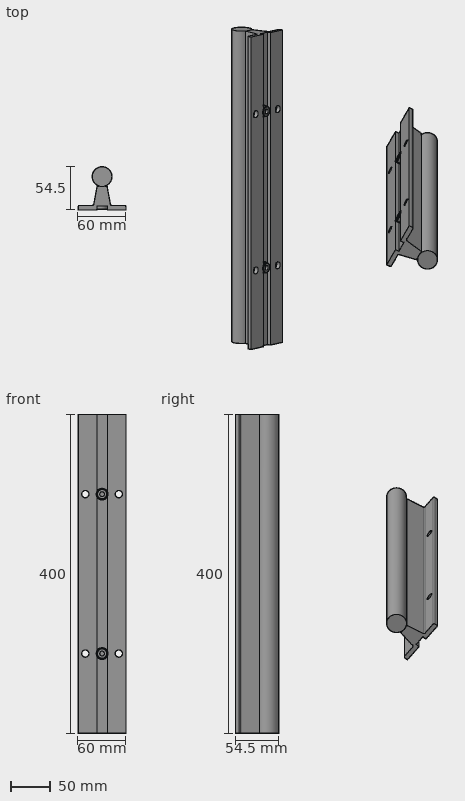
import cadquery as cq
import math

LENGTH = 400.0
SCREW_HEIGHTS = (LENGTH / 4, 3 * LENGTH / 4)

SHAFT_RADIUS = 25.0 / 2
SHAFT_CENTRE_Y = 42.0

BASE_WIDTH = 60.0
BASE_THICKNESS = 6.0
STEM_TOP_Y = 30.0
STEM_TOP_HALF_WIDTH = 6.5
STEM_FOOT_HALF_WIDTH = 11.0
STEM_FOOT_FILLET = 1.5
BASE_CORNER_FILLET = 2.0
SLOT_WIDTH = 13.0
SLOT_DEPTH = 5.0
MOUNTING_HOLE_DIAMETER = 9.0
MOUNTING_HOLE_SPACING = 42.0

HEAD_DIAMETER = 13.0
HEAD_HEIGHT = 8.0
HEAD_FACE_Y = 0.5
HEAD_CHAMFER = 1.0
HEAD_SEAT_Y = HEAD_FACE_Y + HEAD_HEIGHT
COUNTERBORE_DIAMETER = 15.0
SOCKET_DIAMETER = 6.0
SOCKET_DEPTH = HEAD_HEIGHT / 2


def y_cylinder(x, z, diameter, y_start, y_end):
    """Cylinder along +Y from y_start to y_end."""
    return cq.Workplane(
        cq.Solid.makeCylinder(diameter / 2, y_end - y_start, cq.Vector(x, y_start, z), cq.Vector(0, 1, 0))
    )


def make_shaft():
    return cq.Workplane("XY").center(0, SHAFT_CENTRE_Y).circle(SHAFT_RADIUS).extrude(LENGTH)


def make_support():
    groove_half_width = math.sqrt(SHAFT_RADIUS**2 - (SHAFT_CENTRE_Y - STEM_TOP_Y) ** 2)
    groove_bottom_y = SHAFT_CENTRE_Y - SHAFT_RADIUS
    base_half = BASE_WIDTH / 2
    slot_half = SLOT_WIDTH / 2
    support = (
        cq.Workplane("XY")
        .moveTo(-base_half, 0)
        .lineTo(-slot_half, 0)
        .lineTo(-slot_half, SLOT_DEPTH)
        .lineTo(slot_half, SLOT_DEPTH)
        .lineTo(slot_half, 0)
        .lineTo(base_half, 0)
        .lineTo(base_half, BASE_THICKNESS)
        .lineTo(STEM_FOOT_HALF_WIDTH, BASE_THICKNESS)
        .lineTo(STEM_TOP_HALF_WIDTH, STEM_TOP_Y)
        .lineTo(groove_half_width, STEM_TOP_Y)
        .threePointArc((0, groove_bottom_y), (-groove_half_width, STEM_TOP_Y))
        .lineTo(-STEM_TOP_HALF_WIDTH, STEM_TOP_Y)
        .lineTo(-STEM_FOOT_HALF_WIDTH, BASE_THICKNESS)
        .lineTo(-base_half, BASE_THICKNESS)
        .close()
        .extrude(LENGTH)
    )

    for side in (-1, 1):
        foot = (side * STEM_FOOT_HALF_WIDTH, BASE_THICKNESS, LENGTH / 2)
        support = support.edges(cq.NearestToPointSelector(foot)).fillet(STEM_FOOT_FILLET)
        corner = (side * base_half, BASE_THICKNESS, LENGTH / 2)
        support = support.edges(cq.NearestToPointSelector(corner)).fillet(BASE_CORNER_FILLET)

    for z in SCREW_HEIGHTS:
        for side in (-1, 1):
            hole_x = side * MOUNTING_HOLE_SPACING / 2
            support = support.cut(y_cylinder(hole_x, z, MOUNTING_HOLE_DIAMETER, 0, BASE_THICKNESS))
        support = support.cut(y_cylinder(0, z, COUNTERBORE_DIAMETER, 0, HEAD_SEAT_Y))
    return support


def make_screw(z):
    head = y_cylinder(0, z, HEAD_DIAMETER, HEAD_FACE_Y, HEAD_SEAT_Y).faces("<Y").chamfer(HEAD_CHAMFER)
    return head.cut(y_cylinder(0, z, SOCKET_DIAMETER, HEAD_FACE_Y, HEAD_FACE_Y + SOCKET_DEPTH))


shaft = make_shaft()
support = make_support()
screws = [make_screw(z) for z in SCREW_HEIGHTS]

result = cq.Compound.makeCompound([shaft.val(), support.val(), *[screw.val() for screw in screws]])